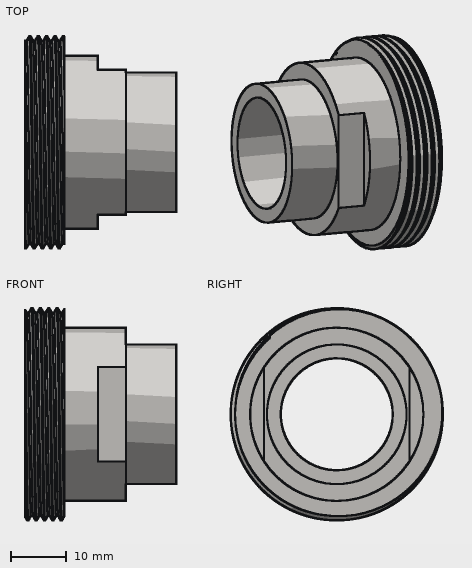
import cadquery as cq
import math

total_length = 27.0
collar_length = 7.0
flats_start = 13.0
body_end = 18.0

thread_diameter = 38.0
body_diameter = 31.0
spigot_diameter = 25.0
bore_diameter = 20.0

across_flats = 26.0

thread_turns = 4.67
thread_depth = 0.8
crest_width = 0.2
flank_angle = math.radians(30)
ridge_overlap = 0.1
crest_offset = 0.85

pitch = collar_length / thread_turns
crest_radius = thread_diameter / 2
root_radius = crest_radius - thread_depth


def cylinder(start, end, diameter):
    """Solid cylinder on the X axis between two axial positions."""
    return cq.Workplane("YZ", origin=(start, 0, 0)).circle(diameter / 2).extrude(end - start)


def thread_ridge():
    """Helical ridge about X, overrunning the collar and then trimmed at its end faces."""
    base_radius = root_radius - ridge_overlap
    half_crest = crest_width / 2
    half_base = half_crest + (crest_radius - base_radius) * math.tan(flank_angle)
    overrun_turns = 2
    helix_height = (math.ceil(thread_turns) + 2 * overrun_turns) * pitch

    helix = cq.Workplane(obj=cq.Wire.makeHelix(pitch, helix_height, base_radius))
    ridge = (
        cq.Workplane("XZ")
        .polyline([
            (base_radius, -half_base),
            (crest_radius, -half_crest),
            (crest_radius, half_crest),
            (base_radius, half_base),
        ])
        .close()
        .sweep(helix, isFrenet=True)
    )
    ridge = ridge.rotate((0, 0, 0), (1, 1, 1), 120)
    ridge = ridge.translate((crest_offset - overrun_turns * pitch, 0, 0))
    trim_diameter = thread_diameter + 2 * thread_depth
    return ridge.intersect(cylinder(0, collar_length, trim_diameter))


def flatted_body():
    """Round body with two parallel wrench flats facing +Y and -Y at its far end."""
    body = cylinder(0, body_end, body_diameter)
    flats_length = body_end - flats_start
    for side in (-1, 1):
        waste = cq.Workplane("XY").box(
            flats_length, body_diameter, body_diameter, centered=(False, True, True)
        )
        body = body.cut(waste.translate((flats_start, side * (across_flats + body_diameter) / 2, 0)))
    return body


thread_core = cylinder(0, collar_length, 2 * root_radius)
spigot = cylinder(0, total_length, spigot_diameter)
bore = cylinder(0, total_length, bore_diameter)

result = flatted_body().union(spigot).union(thread_core).union(thread_ridge()).cut(bore)